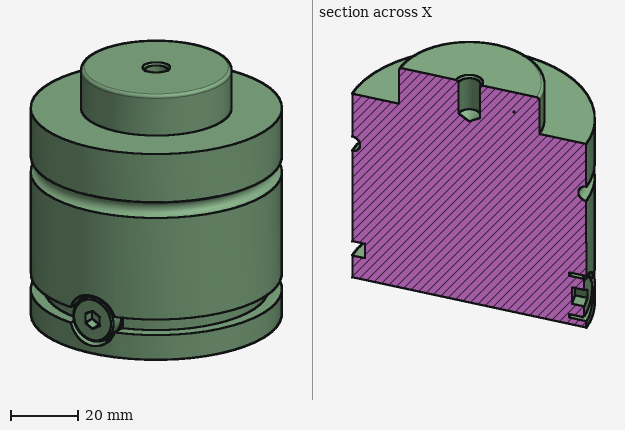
import cadquery as cq
import math

total_height = 79.0
body_diameter = 75.0
body_height = 66.05
rod_diameter = 45.0
rod_edge_radius = 1.0

groove_width = 5.0
round_groove_z = 48.0
square_groove_bottom = 8.0
square_groove_depth = 4.0

rod_hole_diameter = 6.8
rod_hole_mouth_diameter = 8.2
rod_hole_depth = 11.85
drill_tip_angle = 118.0

plug_z = square_groove_bottom + groove_width / 2
plug_diameter = 14.0
plug_chamfer = 0.55
plug_face_distance = 36.8
pocket_diameter = 16.0
pocket_floor_distance = 32.0
hex_across_flats = 5.0
hex_depth = 3.95

body_radius = body_diameter / 2


def side_plane(distance):
    """Plane at the plug's height, facing -Y, at a distance from the body axis."""
    return cq.Plane(origin=(0, -distance, plug_z), xDir=(1, 0, 0), normal=(0, -1, 0))


def make_body():
    body = cq.Workplane("XY").circle(body_radius).extrude(body_height)
    rod = (
        cq.Workplane("XY")
        .circle(rod_diameter / 2)
        .extrude(total_height)
        .faces(">Z")
        .fillet(rod_edge_radius)
    )
    return body.union(rod)


def make_round_groove():
    return (
        cq.Workplane("XZ")
        .center(body_radius, round_groove_z)
        .circle(groove_width / 2)
        .revolve(360, (-body_radius, 0), (-body_radius, 1))
    )


def make_square_groove():
    return (
        cq.Workplane("XY", origin=(0, 0, square_groove_bottom))
        .circle(body_radius)
        .circle(body_radius - square_groove_depth)
        .extrude(groove_width)
    )


def make_rod_hole():
    """Drilled hole with a conical tip and a 45 degree mouth."""
    mouth_chamfer = (rod_hole_mouth_diameter - rod_hole_diameter) / 2
    drill = (
        cq.Workplane("XY", origin=(0, 0, total_height - rod_hole_depth))
        .circle(rod_hole_diameter / 2)
        .extrude(rod_hole_depth)
    )
    tip_solid = cq.Solid.makeCone(
        rod_hole_diameter / 2,
        0,
        rod_hole_diameter / 2 / math.tan(math.radians(drill_tip_angle / 2)),
        pnt=cq.Vector(0, 0, total_height - rod_hole_depth),
        dir=cq.Vector(0, 0, -1),
    )
    mouth = cq.Solid.makeCone(
        rod_hole_mouth_diameter / 2,
        rod_hole_diameter / 2,
        mouth_chamfer,
        pnt=cq.Vector(0, 0, total_height),
        dir=cq.Vector(0, 0, -1),
    )
    return drill.union(cq.Workplane(tip_solid)).union(cq.Workplane(mouth))


def make_pocket():
    return (
        cq.Workplane(side_plane(pocket_floor_distance))
        .circle(pocket_diameter / 2)
        .extrude(body_radius - pocket_floor_distance)
    )


def make_plug():
    """Chamfered plug with a hexagon socket, one corner pointing up."""
    plug = (
        cq.Workplane(side_plane(pocket_floor_distance - hex_depth))
        .circle(plug_diameter / 2)
        .extrude(plug_face_distance - pocket_floor_distance + hex_depth)
        .faces("<Y")
        .chamfer(plug_chamfer)
    )
    hex_across_corners = hex_across_flats / math.cos(math.radians(30))
    socket = (
        cq.Workplane(side_plane(plug_face_distance))
        .transformed(rotate=(0, 0, 90))
        .polygon(6, hex_across_corners)
        .extrude(-hex_depth)
    )
    return plug.cut(socket)


result = (
    make_body()
    .cut(make_round_groove())
    .cut(make_square_groove())
    .cut(make_rod_hole())
    .cut(make_pocket())
    .union(make_plug())
)